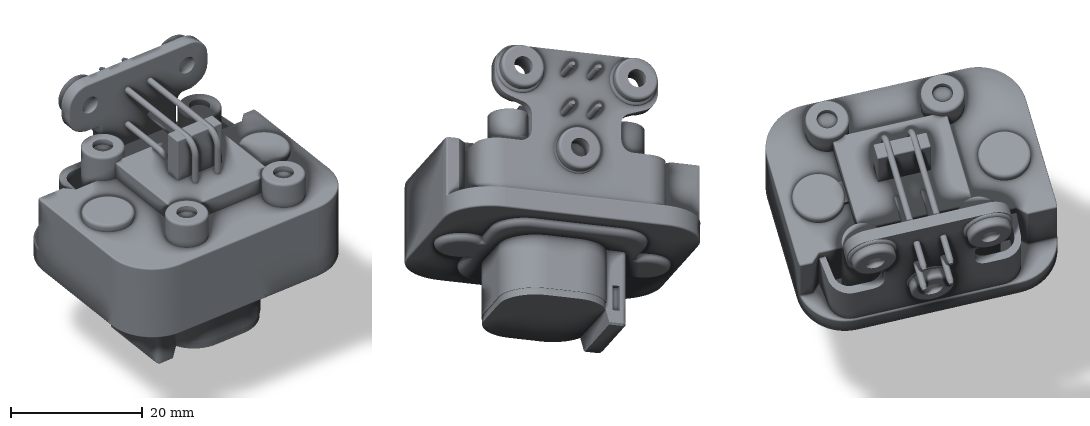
import cadquery as cq
import math

BODY_X = 33.04
BODY_Y = 40.66
BODY_H = 12.85
BODY_CORNER_R = 7.5
EDGE_R = 0.25
FLANGE_H = 3.3
CORE_Y = 1.34

WALL_X = -8.95
NOTCH_X = -10.38
NOTCH_HALF_Y = 16.9
RIM_HALF_Y = 15.5
RIM_H = 11.3
RIM_DRAFT = 5.0
RIM_WALL = 1.0
RIM_FRONT_WALL = 1.3
DECK_HALF_Y = 8.5
RIM_OUTER_R = 3.5
RIM_INNER_R = RIM_OUTER_R - RIM_WALL

PLATE_X = -16.2
PLATE_T = 2.0
PLATE_BACK_X = PLATE_X + PLATE_T
PLATE_HALF_Y = 13.0
PLATE_CORNER_R = 3.5
PLATE_BACK_EDGE_R = 0.25
EAR_RISE = 3.9
NECK_HALF_Y = 7.13
NECK_LOW_R = 1.9
NECK_HIGH_R = 1.9
EAR_R = 3.3
EAR_BOTTOM_ANGLE = 19.0
EAR_SIDE_LOW_Z = 21.5
PIN_HIGH_Z = 22.76
PIN_LOW_Z = 16.4
PLATE_TOP_Z = PIN_HIGH_Z + EAR_RISE

PLATE_BOSS_D = 6.75
PLATE_BOSS_H = 1.9
PLATE_BOSS_EDGE_R = 0.45
EAR_BOSS_BASE_R = 0.45
LOW_BOSS_BASE_R = 0.25
PLATE_HOLE_D = 2.9
LOW_BOSS_Z = 10.47
LOW_BOSS_HOLE_D = 3.0
LOW_BOSS_HOLE_DEPTH = 2.5

PEDESTAL_CENTRE_X = 0.15
PEDESTAL_X = 16.6
PEDESTAL_Y = 18.0
PEDESTAL_TOP_Z = 15.74
POST_DX = 10.93
POST_DY = 9.06
POST_D = 6.65
POST_TOP_Z = 17.15
POST_EDGE_R = 0.4
POST_CLEARANCE_R = 3.95
POST_HOLE_D = 3.2
POST_HOLE_DEPTH = 1.0
DISC_Y = 14.6
DISC_D = 8.04
DISC_TOP_Z = 14.1
DISC_EDGE_R = 0.5
BRIDGE_X = 3.6

PIN_D = 1.0
PIN_TIP_D = 0.6
PIN_TIP_X = -21.13
PIN_TAPER_L = 0.65
PIN_DY = 2.1
PIN_BEND_R = 2.4
PIN_HIGH_DOWN_X = 3.5
PIN_LOW_DOWN_X = -3.55
BLOCK_X0 = -0.85
BLOCK_LENGTH_X = 2.62
BLOCK_Y = 8.38
BLOCK_TOP_Z = 23.1
BLOCK_EDGE_R = 0.2

PAD_H = 1.1
PAD_X = 26.5
PAD_Y = 24.8
PAD_CORNER_R = 5.4
PAD_LOBE_R = 4.1
PAD_EDGE_R = 1.0

SOCKET_X = 19.36
SOCKET_Y = 17.0
SOCKET_CORNER_R = 5.9
SOCKET_STEP_Z = -9.7
SOCKET_BOTTOM_Z = -10.8
SOCKET_STEP = 0.12
LATCH_X = 12.75
LATCH_INNER_Y = -6.45
LATCH_OUTER_Y = -9.85
LATCH_BOTTOM_Z = -13.04
LATCH_TAPER_Z = -10.7
LATCH_TAPER_Y = 0.65
LATCH_CORNER_R = 0.8
LATCH_CHAMFER = 0.3
LATCH_SLOT_Y = (-8.7, -7.5)
LATCH_SLOT_Z = (-10.75, -6.7)
LATCH_SLOT_DEPTH = 1.0


def box(x0, x1, y0, y1, z0, z1):
    """Box between two opposite corners."""
    return cq.Workplane("XY").box(x1 - x0, y1 - y0, z1 - z0, centered=False).translate((x0, y0, z0))


def rounded_block(size_x, size_y, corner_r, z0, z1):
    """Upright block centred on Z with rounded corners."""
    block = cq.Workplane("XY").workplane(offset=z0).rect(size_x, size_y).extrude(z1 - z0)
    return block.edges("|Z").fillet(corner_r)


def post(x, y, diameter, z0, z1):
    """Upright cylinder."""
    return cq.Workplane("XY").workplane(offset=z0).center(x, y).circle(diameter / 2).extrude(z1 - z0)


def rod_x(x0, x1, y, z, diameter):
    """Cylinder along X."""
    return cq.Workplane("YZ").workplane(offset=x0).center(y, z).circle(diameter / 2).extrude(x1 - x0)


def rim_block(front_x, inset, corner_r):
    """Plan shape of the rim, moved in by an inset, as a solid from ledge to rim height."""
    back_y = RIM_HALF_Y - inset
    front_y = back_y - (WALL_X - front_x) * math.tan(math.radians(RIM_DRAFT))
    outline = [(WALL_X, -back_y), (front_x, -front_y), (front_x, front_y), (WALL_X, back_y)]
    block = cq.Workplane("XY").workplane(offset=FLANGE_H).polyline(outline).close()
    block = block.extrude(RIM_H - FLANGE_H).edges("|Z and <X").fillet(corner_r)
    return block.translate((0, CORE_Y, 0))


def make_housing():
    body = rounded_block(BODY_X, BODY_Y, BODY_CORNER_R, 0, BODY_H)
    outside = -BODY_X
    clearance = [
        (outside, -BODY_Y),
        (NOTCH_X, -BODY_Y),
        (NOTCH_X, -NOTCH_HALF_Y),
        (WALL_X, -RIM_HALF_Y),
        (WALL_X, RIM_HALF_Y),
        (NOTCH_X, NOTCH_HALF_Y),
        (NOTCH_X, BODY_Y),
        (outside, BODY_Y),
    ]
    cutter = cq.Workplane("XY").workplane(offset=FLANGE_H).polyline(clearance).close().extrude(BODY_H)
    body = body.cut(cutter.translate((0, CORE_Y, 0)))
    rounded = body.faces(">Z or <Z").edges()
    ledge_box = cq.selectors.BoxSelector(
        (outside, -BODY_Y, FLANGE_H - EDGE_R),
        (WALL_X - EDGE_R, BODY_Y, FLANGE_H + EDGE_R),
    )
    rounded = rounded.add(body.edges(ledge_box))
    for side in (-1, 1):
        upright = cq.selectors.NearestToPointSelector((NOTCH_X, side * BODY_Y / 2, (FLANGE_H + BODY_H) / 2))
        rounded = rounded.add(body.edges("|Z").edges(upright))
    body = rounded.fillet(EDGE_R)
    rim = rim_block(PLATE_X, 0, RIM_OUTER_R)
    pocket = rim_block(PLATE_X + RIM_FRONT_WALL, RIM_WALL, RIM_INNER_R)
    return body.union(rim.cut(pocket))


def make_plate():
    slope = math.radians(EAR_BOTTOM_ANGLE)
    arc_y = PLATE_HALF_Y - EAR_R
    ear_low = (arc_y + EAR_R * math.sin(slope), EAR_SIDE_LOW_Z - EAR_R * math.cos(slope))
    ear_mid_angle = (math.pi / 2 - slope) / 2
    ear_mid = (arc_y + EAR_R * math.cos(ear_mid_angle), EAR_SIDE_LOW_Z - EAR_R * math.sin(ear_mid_angle))
    neck_top_z = ear_low[1] - (ear_low[0] - NECK_HALF_Y) * math.tan(slope)
    half = (
        cq.Workplane("YZ")
        .moveTo(0, FLANGE_H)
        .lineTo(POST_DY, FLANGE_H)
        .lineTo(POST_DY, RIM_H)
        .lineTo(NECK_HALF_Y, RIM_H)
        .lineTo(NECK_HALF_Y, neck_top_z)
        .lineTo(*ear_low)
        .threePointArc(ear_mid, (PLATE_HALF_Y, EAR_SIDE_LOW_Z))
        .lineTo(PLATE_HALF_Y, PLATE_TOP_Z)
        .lineTo(0, PLATE_TOP_Z)
        .close()
        .extrude(PLATE_T)
    )

    def round_edge(solid, y, z, radius):
        picker = cq.selectors.NearestToPointSelector((PLATE_T / 2, y, z))
        return solid.edges(picker).fillet(radius)

    half = round_edge(half, NECK_HALF_Y, RIM_H, NECK_LOW_R)
    half = round_edge(half, NECK_HALF_Y, neck_top_z, NECK_HIGH_R)
    half = round_edge(half, PLATE_HALF_Y, PLATE_TOP_Z, PLATE_CORNER_R)
    plate = half.union(half.mirror("XZ"))
    plate = plate.faces(">X").edges().fillet(PLATE_BACK_EDGE_R).translate((PLATE_X, CORE_Y, 0))
    for side in (-1, 1):
        y = CORE_Y + side * POST_DY
        plate = plate.cut(post(-POST_DX, y, 2 * POST_CLEARANCE_R, FLANGE_H, EAR_SIDE_LOW_Z - EAR_R))
    return plate


def make_deck():
    """Solid top between the two near posts, from the plate back under the pedestal."""
    deck = box(PLATE_BACK_X, 0, CORE_Y - DECK_HALF_Y, CORE_Y + DECK_HALF_Y, FLANGE_H, BODY_H)
    return deck.edges(">Z and <X").fillet(EDGE_R)


def plate_boss(y, z, flare_r):
    """Round boss on the plate's outer face with a rounded rim and a flared base."""
    r = PLATE_BOSS_D / 2
    base_r = r + flare_r
    top = PLATE_BOSS_H
    edge = PLATE_BOSS_EDGE_R
    profile = (
        cq.Workplane("XY")
        .moveTo(0, 0)
        .lineTo(0, base_r)
        .radiusArc((-flare_r, r), -flare_r)
        .lineTo(edge - top, r)
        .radiusArc((-top, r - edge), -edge)
        .lineTo(-top, 0)
        .close()
    )
    return profile.revolve(360, (0, 0, 0), (1, 0, 0)).translate((PLATE_X, y, z))


def bent_pin(y, z, down_x):
    """Pin running in X from its tapered tip, then bent down into the pedestal."""
    bend_x = down_x - PIN_BEND_R
    straight_x = PIN_TIP_X + PIN_TAPER_L
    tip = cq.Workplane("YZ").workplane(offset=PIN_TIP_X).center(y, z).circle(PIN_TIP_D / 2)
    tip = tip.workplane(offset=PIN_TAPER_L).circle(PIN_D / 2).loft()
    diagonal = PIN_BEND_R * math.sin(math.pi / 4)
    bend_mid = (bend_x + diagonal, z - PIN_BEND_R + diagonal)
    path = (
        cq.Workplane("XZ", origin=(0, y, 0))
        .moveTo(straight_x, z)
        .lineTo(bend_x, z)
        .threePointArc(bend_mid, (down_x, z - PIN_BEND_R))
        .lineTo(down_x, BODY_H)
    )
    shaft = cq.Workplane("YZ").workplane(offset=straight_x).center(y, z).circle(PIN_D / 2).sweep(path)
    return tip.union(shaft)


def make_pin_block():
    block = box(
        BLOCK_X0,
        BLOCK_X0 + BLOCK_LENGTH_X,
        CORE_Y - BLOCK_Y / 2,
        CORE_Y + BLOCK_Y / 2,
        BODY_H,
        BLOCK_TOP_Z,
    )
    block = block.edges("|Z or >Z").fillet(BLOCK_EDGE_R)
    for side in (-1, 1):
        y = CORE_Y + side * PIN_DY
        slot = box(
            BLOCK_X0,
            BLOCK_X0 + BLOCK_LENGTH_X,
            y - PIN_D / 2,
            y + PIN_D / 2,
            PIN_HIGH_Z,
            BLOCK_TOP_Z,
        )
        block = block.cut(slot)
    return block


def make_pedestal():
    pedestal = cq.Workplane("XY").workplane(offset=FLANGE_H).rect(PEDESTAL_X, PEDESTAL_Y)
    pedestal = pedestal.extrude(PEDESTAL_TOP_Z - FLANGE_H).faces(">Z").edges().fillet(EDGE_R)
    return pedestal.translate((PEDESTAL_CENTRE_X, CORE_Y, 0))


def make_discs():
    discs = cq.Workplane("XY")
    for side in (-1, 1):
        disc = post(0, side * DISC_Y, DISC_D, FLANGE_H, DISC_TOP_Z)
        discs = discs.union(disc.faces(">Z").edges().fillet(DISC_EDGE_R))
    bridge_top = DISC_TOP_Z - DISC_EDGE_R
    pedestal_y = CORE_Y + PEDESTAL_Y / 2
    bridge = box(-BRIDGE_X / 2, BRIDGE_X / 2, pedestal_y, DISC_Y, FLANGE_H, bridge_top)
    return discs.union(bridge)


def make_pad():
    pad = rounded_block(PAD_X, PAD_Y, PAD_CORNER_R, -PAD_H, 0)
    for side in (-1, 1):
        pad = pad.union(post(0, side * DISC_Y, 2 * PAD_LOBE_R, -PAD_H, 0))
    return pad.faces("<Z").edges().fillet(PAD_EDGE_R)


def make_socket():
    upper = rounded_block(SOCKET_X, SOCKET_Y, SOCKET_CORNER_R, SOCKET_STEP_Z, 0)
    shrink = 2 * SOCKET_STEP
    lower = rounded_block(
        SOCKET_X - shrink,
        SOCKET_Y - shrink,
        SOCKET_CORNER_R - SOCKET_STEP,
        SOCKET_BOTTOM_Z,
        SOCKET_STEP_Z,
    )
    return upper.union(lower).translate((0, CORE_Y, 0))


def make_latch():
    latch = box(-LATCH_X / 2, LATCH_X / 2, LATCH_OUTER_Y, LATCH_INNER_Y, LATCH_BOTTOM_Z, 0)
    latch = latch.edges("|Z and <Y").fillet(LATCH_CORNER_R)
    latch = latch.faces("<Z").edges().chamfer(LATCH_CHAMFER)
    taper = (
        cq.Workplane("YZ")
        .moveTo(LATCH_INNER_Y, LATCH_TAPER_Z)
        .lineTo(LATCH_INNER_Y - LATCH_TAPER_Y, LATCH_BOTTOM_Z)
        .lineTo(LATCH_INNER_Y, LATCH_BOTTOM_Z)
        .close()
        .extrude(LATCH_X, both=True)
    )
    latch = latch.cut(taper)
    slot_x = -LATCH_X / 2
    slot = box(slot_x, slot_x + LATCH_SLOT_DEPTH, *LATCH_SLOT_Y, *LATCH_SLOT_Z)
    return latch.cut(slot)


def make_part():
    part = make_housing().union(make_plate()).union(make_deck()).union(make_pedestal()).union(make_discs())
    part = part.union(make_pin_block())
    for side_x in (-1, 1):
        for side_y in (-1, 1):
            x = side_x * POST_DX
            y = CORE_Y + side_y * POST_DY
            pillar = post(x, y, POST_D, FLANGE_H, POST_TOP_Z).faces(">Z").edges().fillet(POST_EDGE_R)
            hole = post(x, y, POST_HOLE_D, POST_TOP_Z - POST_HOLE_DEPTH, POST_TOP_Z)
            part = part.union(pillar).cut(hole)
    boss_face_x = PLATE_X - PLATE_BOSS_H
    for side in (-1, 1):
        y = CORE_Y + side * POST_DY
        part = part.union(plate_boss(y, PIN_HIGH_Z, EAR_BOSS_BASE_R))
        part = part.cut(rod_x(boss_face_x, PLATE_BACK_X, y, PIN_HIGH_Z, PLATE_HOLE_D))
    part = part.union(plate_boss(CORE_Y, LOW_BOSS_Z, LOW_BOSS_BASE_R))
    hole_end_x = boss_face_x + LOW_BOSS_HOLE_DEPTH
    part = part.cut(rod_x(boss_face_x, hole_end_x, CORE_Y, LOW_BOSS_Z, LOW_BOSS_HOLE_D))
    for side in (-1, 1):
        y = CORE_Y + side * PIN_DY
        part = part.union(bent_pin(y, PIN_HIGH_Z, PIN_HIGH_DOWN_X))
        part = part.union(bent_pin(y, PIN_LOW_Z, PIN_LOW_DOWN_X))
    return part.union(make_pad()).union(make_socket()).union(make_latch())


result = make_part()